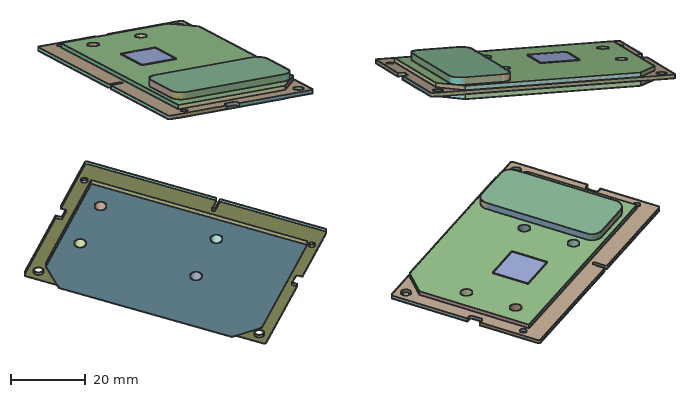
import cadquery as cq

board_length = 69.6
board_width = 45.0
board_thickness = 1.05
board_corner_radius = 0.6

plate_length = 62.2
plate_width = 39.4
plate_chamfer = 6.2
plate_back_gap = 0.5
upper_plate_thickness = 1.2
lower_plate_thickness = 1.45

pad_length = 17.0
pad_width = 36.4
pad_height = 2.0
pad_corner_radius = 3.05
pad_x = 19.3
chip_length = 11.2
chip_width = 10.7
chip_height = 0.2
chip_x = -9.05
chip_y = -3.05

mount_hole_diameter = 3.2
mount_spacing_x = 33.4
mount_spacing_y = 14.9

back_hole_diameter = 2.8
back_hole_inset = 3.0
front_hole_diameter = 1.8
front_hole_inset_x = 2.0
front_hole_inset_y = 6.0

notch_depth = 1.75
notch_width = 3.8
notch_corner_radius = 0.6
notch_from_front = 20.0
slot_width = 1.0
slot_depth = 4.0
slot_x = 3.5
slot_mouth_radius = 0.2

board_bottom = lower_plate_thickness
board_top = board_bottom + board_thickness
plate_top = board_top + upper_plate_thickness
back_edge = board_width / 2
front_edge = -back_edge
side_edge = board_length / 2
plate_y = back_edge - plate_back_gap - plate_width / 2


def block(length, width, height, x, y, bottom):
    """Box centred on (x, y) that rises from the given level."""
    base = cq.Workplane("XY", origin=(x, y, bottom))
    return base.rect(length, width).extrude(height)


def drill(body, points, diameter):
    """Cut vertical holes through the full height at the given points."""
    drills = cq.Workplane("XY").pushPoints(points).circle(diameter / 2).extrude(plate_top)
    return body.cut(drills)


def cut_key_slot(board):
    """Cut the round-ended key slot and ease the two corners at its mouth."""
    slot_base = cq.Workplane("XY", origin=(slot_x, front_edge, board_bottom))
    slot = slot_base.slot2D(2 * slot_depth, slot_width, angle=90).extrude(board_thickness)
    board = board.cut(slot)
    mouth_corners = cq.selectors.BoxSelector(
        (slot_x - slot_width, front_edge - slot_width, 0),
        (slot_x + slot_width, front_edge + slot_width, plate_top),
    )
    return board.edges("|Z").edges(mouth_corners).fillet(slot_mouth_radius)


def make_board():
    board = block(board_length, board_width, board_thickness, 0, 0, board_bottom)
    board = board.edges("|Z").fillet(board_corner_radius)
    notch_y = front_edge + notch_from_front
    for edge_x in (-side_edge, side_edge):
        notch = block(2 * notch_depth, notch_width, board_thickness, edge_x, notch_y, board_bottom)
        board = board.cut(notch.edges("|Z").fillet(notch_corner_radius))
    board = cut_key_slot(board)

    back_x = side_edge - back_hole_inset
    back_y = back_edge - back_hole_inset
    board = drill(board, [(-back_x, back_y), (back_x, back_y)], back_hole_diameter)
    front_x = side_edge - front_hole_inset_x
    front_y = front_edge + front_hole_inset_y
    return drill(board, [(-front_x, front_y), (front_x, front_y)], front_hole_diameter)


def make_plate(thickness, bottom):
    plate = block(plate_length, plate_width, thickness, 0, plate_y, bottom)
    return plate.edges("|Z and >Y").chamfer(plate_chamfer)


def make_pad():
    pad = block(pad_length, pad_width, pad_height, pad_x, plate_y, plate_top)
    return pad.edges("|Z").fillet(pad_corner_radius)


body = make_board()
body = body.union(make_plate(lower_plate_thickness, 0))
body = body.union(make_plate(upper_plate_thickness, board_top))
body = body.union(make_pad())
body = body.union(block(chip_length, chip_width, chip_height, chip_x, chip_y, plate_top))

mount_points = [
    (chip_x + side_x * mount_spacing_x / 2, chip_y + side_y * mount_spacing_y / 2)
    for side_x in (-1, 1)
    for side_y in (-1, 1)
]
result = drill(body, mount_points, mount_hole_diameter)